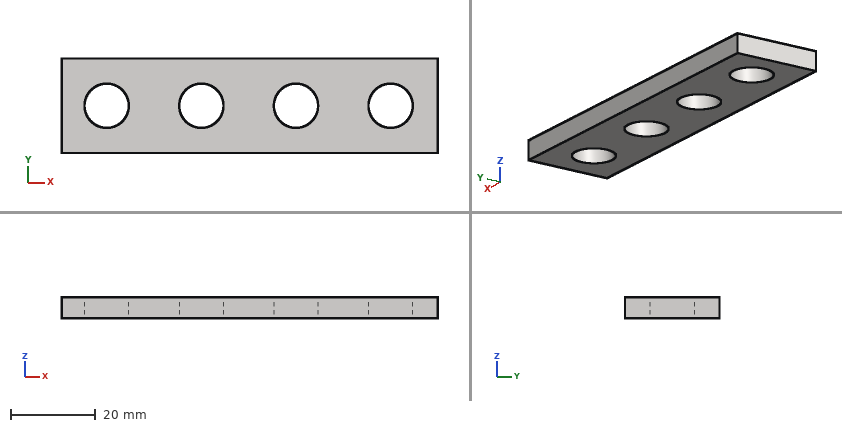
import cadquery as cq

length = 88.9
width = 22.35
thickness = 5.0

hole_diameter = 10.41
hole_count = 4
hole_pitch = width
first_hole_from_left = 10.67


def make_plate():
    return cq.Workplane("XY").box(length, width, thickness, centered=(True, True, False))


def hole_centres():
    first_x = -length / 2 + first_hole_from_left
    return [(first_x + i * hole_pitch, 0) for i in range(hole_count)]


def drill_holes(plate):
    drills = cq.Workplane("XY").pushPoints(hole_centres()).circle(hole_diameter / 2).extrude(thickness)
    return plate.cut(drills)


result = drill_holes(make_plate())